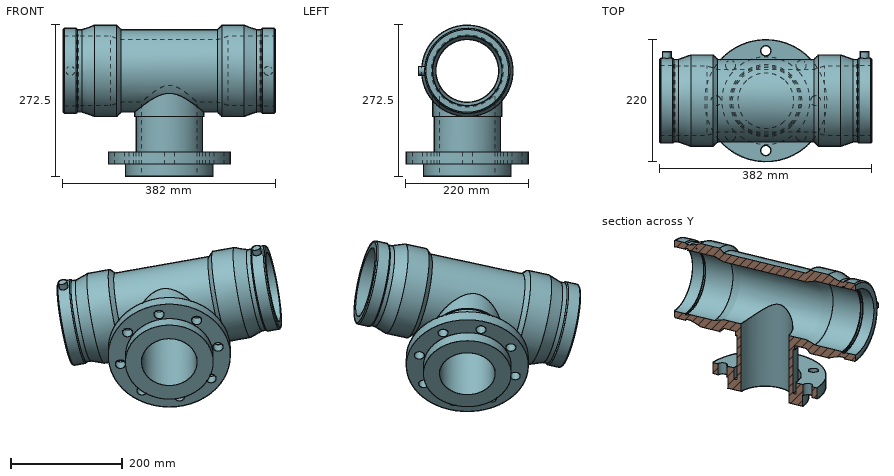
import cadquery as cq

length = 382.0
half_length = length / 2
pipe_radius = 149.0 / 2
bore_radius = 112.5 / 2

rim_radius = 153.5 / 2
bulge_radius = 165.0 / 2
rim_chamfer = 2.3
rim_end = 25.5
bulge_slope_start = 33.5
bulge_start = 56.5
bulge_end = 96.0
bulge_slope_end = 104.3

mouth_radius = 126.0 / 2
groove_radius = 130.0 / 2
seat_radius = 125.0 / 2
groove_start = 23.5
groove_end = 28.0
taper_start = 85.5
taper_end = bulge_slope_end

pin_radius = 16.0 / 2
pin_offset = 13.0
pin_reach = 88.2
pin_root = 68.8

branch_radius = 120.0 / 2
branch_bore_radius = 100.0 / 2
collar_radius = 125.0 / 2
stub_radius = 158.0 / 2
stub_height = 21.8
flange_radius = 220.0 / 2
flange_height = 22.0
flange_hole_radius = 130.0 / 2
bolt_hole_radius = 18.0 / 2
bolt_circle_radius = 89.8
bolt_count = 8
total_height = 272.5
collar_bottom = -bulge_radius
branch_bottom = bulge_radius - total_height
stub_top = branch_bottom + stub_height


def vertical_cylinder(radius, bottom, top):
    return cq.Workplane("XY").workplane(offset=bottom).circle(radius).extrude(top - bottom)


def revolve_about_x(points):
    return cq.Workplane("XY").polyline(points).close().revolve(360, (0, 0), (1, 0))


def symmetric_turning(end_profile):
    """Revolve a solid whose (distance from end, radius) profile is the same at both ends."""
    left = [(distance - half_length, radius) for distance, radius in end_profile]
    right = [(-x, radius) for x, radius in reversed(left)]
    return revolve_about_x([(-half_length, 0)] + left + right + [(half_length, 0)])


def main_body():
    return symmetric_turning([
        (0, rim_radius - rim_chamfer),
        (rim_chamfer, rim_radius),
        (rim_end - rim_chamfer, rim_radius),
        (rim_end, pipe_radius),
        (bulge_slope_start, pipe_radius),
        (bulge_start, bulge_radius),
        (bulge_end, bulge_radius),
        (bulge_slope_end, pipe_radius),
    ])


def main_bore():
    return symmetric_turning([
        (0, mouth_radius),
        (groove_start, mouth_radius),
        (groove_start, groove_radius),
        (groove_end, groove_radius),
        (groove_end, seat_radius),
        (taper_start, seat_radius),
        (taper_end, bore_radius),
    ])


def contact_pin(x):
    pin = cq.Workplane("XZ", origin=(x, pin_root, 0)).circle(pin_radius)
    return pin.extrude(pin_root - pin_reach)


def loose_flange():
    flange = vertical_cylinder(flange_radius, stub_top, stub_top + flange_height)
    opening = vertical_cylinder(flange_hole_radius, stub_top, stub_top + flange_height)
    bolt_holes = (
        cq.Workplane("XY").workplane(offset=stub_top)
        .polarArray(bolt_circle_radius, 90, 360, bolt_count)
        .circle(bolt_hole_radius).extrude(flange_height)
    )
    return flange.cut(opening).cut(bolt_holes)


def branch():
    pipe = vertical_cylinder(branch_radius, branch_bottom, 0)
    collar = vertical_cylinder(collar_radius, collar_bottom, 0)
    stub = vertical_cylinder(stub_radius, branch_bottom, stub_top)
    return pipe.union(collar).union(stub).union(loose_flange())


pin_x = half_length - pin_offset
result = main_body().union(branch())
for x in (-pin_x, pin_x):
    result = result.union(contact_pin(x))
result = result.cut(main_bore())
result = result.cut(vertical_cylinder(branch_bore_radius, branch_bottom, 0))